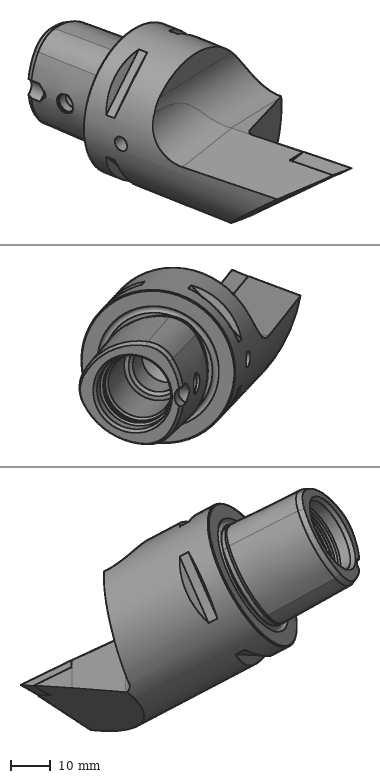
import cadquery as cq
import math

TOTAL_LENGTH = 94.0
BODY_RADIUS = 20.0

LOBE_COUNT = 3
SHANK_LENGTH = 22.0
LOBE_REACH = 14.8
FLAT_REACH = 13.35
LOBE_RADIUS = 8.9
SHANK_SLOPE = 0.025
SHANK_CHAMFER_LENGTH = 1.5
SHANK_CHAMFER_HEIGHT = 0.7

NECK_INSET = 0.4
NECK_START = 22.75
FLANGE_START = 24.0
FLANGE_CHAMFER = 0.3
FACE_GROOVE_INNER_RADIUS = 14.1
FACE_GROOVE_OUTER_RADIUS = 15.8

BORE_MOUTH_RADIUS = 10.2
BORE_MOUTH_DEPTH = 1.1
BORE_RADIUS = 9.6
BORE_DEPTH = 4.0
COLLAR_RADIUS = 8.9
COLLAR_CHAMFER = 0.4
RING_GROOVE_START = 5.3
RING_GROOVE_WIDTH = 0.75
RING_GROOVE_RADIUS = 9.3
COLLAR_END = 6.7
DEEP_BORE_RADIUS = 8.4
DEEP_BORE_START = 7.4
DEEP_BORE_END = 22.6
THREAD_MOUTH_RADIUS = 7.2
THREAD_RADIUS = 6.4
THREAD_END = 32.0
COOLANT_RADIUS = 2.3
COOLANT_END = 41.4
DRILL_POINT_SLOPE = 0.6

KEYWAY_RADIUS = 2.6
KEYWAY_LENGTH = 4.1
KEYWAY_OFFSET = 13.4
SHANK_HOLE_X = 12.6
SHANK_HOLE_RADIUS = 2.35
SHANK_HOLE_RIM_RADIUS = 2.6
SHANK_HOLE_RIM_FLOOR = 12.4
SHANK_HOLE_FLOOR = 10.0
BODY_HOLE_X = 36.1
BODY_HOLE_RADIUS = 2.0
BODY_HOLE_FLOOR = 14.1

GROOVE_X = 32.0
GROOVE_FLOOR_WIDTH = 2.6
GROOVE_DEPTH = 2.3
GROOVE_WALL_ANGLE = 30.0
GROOVE_COUNT = 4
FIRST_GROOVE_ANGLE = 45.0

TIP_HEIGHT = 4.9
RISE_ANGLE = 2.9
RAKE_TILT = 7.1
RAKE_WALL_X = 44.4
RAKE_FILLET = 10.8
HEEL_WALL_X = 44.0
HEEL_FILLET = 11.0
HEEL_DROP = 0.06
SIDE_START_X = 55.6
SIDE_CORNER_X = 60.7
SIDE_CORNER_INSET = 0.4
SIDE_FILLET = 2.4
HOLDER_TIP_X = 93.8
END_SLOPE_Z = 1.27
HOLDER_END_SLOPE_Y = 0.2
INSERT_END_SLOPE_Y = 0.28

INSERT_LENGTH = 15.4
INSERT_WIDTH = 4.8
INSERT_THICKNESS = 2.8
POCKET_GAP = 0.75

LARGE = 3 * TOTAL_LENGTH


def shank_outline(inset):
    """Closed three-lobed wire in the YZ plane, moved inward by `inset`."""
    lobe_pitch = 360 / LOBE_COUNT
    half_pitch = lobe_pitch / 2
    reach_difference = LOBE_REACH - FLAT_REACH
    lobe_centre = LOBE_REACH - LOBE_RADIUS
    side_centre = (
        reach_difference * (2 * lobe_centre - reach_difference) / (lobe_centre - 2 * reach_difference)
    )
    side_sin = side_centre * math.sin(math.radians(half_pitch))
    side_cos = lobe_centre + side_centre * math.cos(math.radians(half_pitch))
    tangent_angle = math.atan2(side_sin, side_cos)
    lobe_radius = LOBE_RADIUS - inset
    join_y = lobe_centre + lobe_radius * math.cos(tangent_angle)
    join_z = lobe_radius * math.sin(tangent_angle)
    join_radius = math.hypot(join_y, join_z)
    join_angle = math.degrees(math.atan2(join_z, join_y))

    def polar(radius, degrees):
        angle = math.radians(degrees)
        return cq.Vector(0, radius * math.cos(angle), radius * math.sin(angle))

    edges = []
    for index in range(LOBE_COUNT):
        lobe_angle = index * lobe_pitch
        lobe_start = polar(join_radius, lobe_angle - join_angle)
        lobe_end = polar(join_radius, lobe_angle + join_angle)
        next_start = polar(join_radius, lobe_angle + lobe_pitch - join_angle)
        lobe_crest = polar(LOBE_REACH - inset, lobe_angle)
        side_middle = polar(FLAT_REACH - inset, lobe_angle + half_pitch)
        edges.append(cq.Edge.makeThreePointArc(lobe_start, lobe_crest, lobe_end))
        edges.append(cq.Edge.makeThreePointArc(lobe_end, side_middle, next_start))
    return cq.Wire.assembleEdges(edges)


def shank():
    """Tapered shank with its lead-in chamfer, and the straight neck that joins it to the body."""
    chamfer_inset = (SHANK_LENGTH - SHANK_CHAMFER_LENGTH) * SHANK_SLOPE
    back = shank_outline(chamfer_inset + SHANK_CHAMFER_HEIGHT)
    chamfer_end = shank_outline(chamfer_inset).translate(cq.Vector(SHANK_CHAMFER_LENGTH, 0, 0))
    wide_end = shank_outline(0).translate(cq.Vector(SHANK_LENGTH, 0, 0))
    neck_start = shank_outline(NECK_INSET).translate(cq.Vector(NECK_START, 0, 0))
    neck_end = shank_outline(NECK_INSET).translate(cq.Vector(FLANGE_START, 0, 0))
    sections = [back, chamfer_end, wide_end, neck_start, neck_end]
    body = cq.Workplane(cq.Solid.makeLoft(sections[:2], True))
    for index in range(1, len(sections) - 1):
        body = body.union(cq.Workplane(cq.Solid.makeLoft(sections[index : index + 2], True)))
    return body


def revolved(profile):
    """Solid of revolution about the tool axis from a closed profile of (x, radius)."""
    return profile.close().revolve(360, (0, 0, 0), (1, 0, 0))


def round_body():
    """Grooved flange face and cylindrical body."""
    groove_radius = (FACE_GROOVE_OUTER_RADIUS - FACE_GROOVE_INNER_RADIUS) / 2
    groove_bottom = (FLANGE_START + groove_radius, FACE_GROOVE_INNER_RADIUS + groove_radius)
    profile = (
        cq.Workplane("XY")
        .moveTo(FLANGE_START, 0)
        .lineTo(FLANGE_START, FACE_GROOVE_INNER_RADIUS)
        .threePointArc(groove_bottom, (FLANGE_START, FACE_GROOVE_OUTER_RADIUS))
        .lineTo(FLANGE_START, BODY_RADIUS - FLANGE_CHAMFER)
        .lineTo(FLANGE_START + FLANGE_CHAMFER, BODY_RADIUS)
        .lineTo(TOTAL_LENGTH, BODY_RADIUS)
        .lineTo(TOTAL_LENGTH, 0)
    )
    return revolved(profile)


def bore():
    """Stepped bore with a thread core hole and a coolant drilling, both ending in drill points."""
    ring_groove_end = RING_GROOVE_START + RING_GROOVE_WIDTH
    thread_chamfer = THREAD_MOUTH_RADIUS - THREAD_RADIUS
    thread_point = THREAD_END + (THREAD_RADIUS - COOLANT_RADIUS) * DRILL_POINT_SLOPE
    profile = cq.Workplane("XY").polyline(
        [
            (0, 0),
            (0, BORE_MOUTH_RADIUS),
            (BORE_MOUTH_DEPTH, BORE_RADIUS),
            (BORE_DEPTH, BORE_RADIUS),
            (BORE_DEPTH + COLLAR_CHAMFER, COLLAR_RADIUS),
            (RING_GROOVE_START, COLLAR_RADIUS),
            (RING_GROOVE_START, RING_GROOVE_RADIUS),
            (ring_groove_end, RING_GROOVE_RADIUS),
            (ring_groove_end, COLLAR_RADIUS),
            (COLLAR_END, COLLAR_RADIUS),
            (DEEP_BORE_START, DEEP_BORE_RADIUS),
            (DEEP_BORE_END, DEEP_BORE_RADIUS),
            (DEEP_BORE_END, THREAD_MOUTH_RADIUS),
            (DEEP_BORE_END + thread_chamfer, THREAD_RADIUS),
            (THREAD_END, THREAD_RADIUS),
            (thread_point, COOLANT_RADIUS),
            (COOLANT_END, COOLANT_RADIUS),
            (COOLANT_END + COOLANT_RADIUS * DRILL_POINT_SLOPE, 0),
        ]
    )
    return revolved(profile)


def keyway():
    """Round-bottomed keyway along the shank, ending in a right-angled point."""
    profile = cq.Workplane("XY").polyline(
        [(0, 0), (0, KEYWAY_RADIUS), (KEYWAY_LENGTH, KEYWAY_RADIUS), (KEYWAY_LENGTH + KEYWAY_RADIUS, 0)]
    )
    return revolved(profile).translate((0, -KEYWAY_OFFSET, 0))


def cross_hole(x, radius, floor):
    """Blind drilled hole entering from the -Y side."""
    point = floor - radius * DRILL_POINT_SLOPE
    profile = cq.Workplane("XY").polyline(
        [(0, -BODY_RADIUS), (radius, -BODY_RADIUS), (radius, -floor), (0, -point)]
    )
    return profile.close().revolve(360, (0, 0, 0), (0, 1, 0)).translate((x, 0, 0))


def shank_hole_rim():
    """Shallow round recess around the mouth of the shank hole."""
    return (
        cq.Workplane("XZ", origin=(SHANK_HOLE_X, -SHANK_HOLE_RIM_FLOOR, 0))
        .circle(SHANK_HOLE_RIM_RADIUS)
        .extrude(BODY_RADIUS - SHANK_HOLE_RIM_FLOOR)
    )


def gripper_groove(angle):
    """Straight groove with sloping walls, cut across the flange at an angle about the axis."""
    half_floor = GROOVE_FLOOR_WIDTH / 2
    half_mouth = half_floor + GROOVE_DEPTH * math.tan(math.radians(GROOVE_WALL_ANGLE))
    floor = BODY_RADIUS - GROOVE_DEPTH
    return (
        cq.Workplane("XZ")
        .polyline(
            [
                (GROOVE_X - half_floor, floor),
                (GROOVE_X + half_floor, floor),
                (GROOVE_X + half_mouth, BODY_RADIUS),
                (GROOVE_X - half_mouth, BODY_RADIUS),
            ]
        )
        .close()
        .extrude(BODY_RADIUS, both=True)
        .rotate((0, 0, 0), (1, 0, 0), angle)
    )


def head_relief(wall_x, fillet, tip_height):
    """Space above the head: an upright wall blending into a floor that climbs to the tip."""
    rise = math.radians(RISE_ANGLE)
    floor_at_wall = tip_height - (TOTAL_LENGTH - wall_x) * math.tan(rise)
    floor_past_tip = tip_height + TOTAL_LENGTH * math.tan(rise)
    return (
        cq.Workplane("XZ")
        .polyline(
            [
                (wall_x, floor_at_wall),
                (2 * TOTAL_LENGTH, floor_past_tip),
                (2 * TOTAL_LENGTH, TOTAL_LENGTH),
                (wall_x, TOTAL_LENGTH),
            ]
        )
        .close()
        .extrude(LARGE, both=True)
        .edges("|Y and <X and <Z")
        .fillet(fillet)
    )


def tilted(shape):
    """Turn a shape by the rake tilt about the line through the tip along X."""
    return shape.rotate((0, 0, TIP_HEIGHT), (1, 0, TIP_HEIGHT), RAKE_TILT)


def side_relief():
    """Everything on the +Y side of the head, back to the slanted shoulder."""
    shoulder_run = (SIDE_CORNER_X - SIDE_START_X) / BODY_RADIUS
    far_y = 2 * BODY_RADIUS
    return (
        cq.Workplane("XY")
        .workplane(offset=-LARGE / 2)
        .polyline(
            [
                (SIDE_CORNER_X, -SIDE_CORNER_INSET),
                (TOTAL_LENGTH - INSERT_LENGTH, 0),
                (LARGE, 0),
                (LARGE, far_y),
                (SIDE_CORNER_X - shoulder_run * far_y, far_y),
            ]
        )
        .close()
        .extrude(LARGE)
        .edges("|Z")
        .edges(cq.selectors.NearestToPointSelector((SIDE_CORNER_X, -SIDE_CORNER_INSET, 0)))
        .fillet(SIDE_FILLET)
    )


def end_relief(tip_x, slope_y):
    """Everything beyond the slanted end face that passes through the tip."""
    face = cq.Plane(origin=(tip_x, 0, TIP_HEIGHT), xDir=(slope_y, 1, 0), normal=(1, -slope_y, -END_SLOPE_Z))
    return cq.Workplane(face).rect(LARGE, LARGE).extrude(LARGE)


def insert_block(gap):
    """Slab under the rake face at the tip; `gap` slants its rear end away from the tip."""
    rear_x = TOTAL_LENGTH - INSERT_LENGTH
    block = (
        cq.Workplane("XY")
        .polyline(
            [
                (rear_x, 0),
                (rear_x - gap, -INSERT_WIDTH),
                (TOTAL_LENGTH, -INSERT_WIDTH),
                (TOTAL_LENGTH, 0),
            ]
        )
        .close()
        .extrude(-INSERT_THICKNESS)
        .translate((0, 0, TIP_HEIGHT))
        .rotate((TOTAL_LENGTH, 0, TIP_HEIGHT), (TOTAL_LENGTH, 1, TIP_HEIGHT), -RISE_ANGLE)
    )
    return tilted(block)


def make_holder():
    """Tool holder: shank, body and cutting head with the insert pocket."""
    holder = round_body().union(shank())
    holder = holder.cut(bore()).cut(keyway())
    holder = holder.cut(cross_hole(SHANK_HOLE_X, SHANK_HOLE_RADIUS, SHANK_HOLE_FLOOR))
    holder = holder.cut(shank_hole_rim())
    holder = holder.cut(cross_hole(BODY_HOLE_X, BODY_HOLE_RADIUS, BODY_HOLE_FLOOR))
    for index in range(GROOVE_COUNT):
        holder = holder.cut(gripper_groove(FIRST_GROOVE_ANGLE + index * 360 / GROOVE_COUNT))
    holder = holder.cut(tilted(head_relief(RAKE_WALL_X, RAKE_FILLET, TIP_HEIGHT)))
    holder = holder.cut(head_relief(HEEL_WALL_X, HEEL_FILLET, TIP_HEIGHT - HEEL_DROP))
    holder = holder.cut(side_relief())
    holder = holder.cut(end_relief(HOLDER_TIP_X, HOLDER_END_SLOPE_Y))
    return holder.cut(insert_block(POCKET_GAP))


def make_insert():
    """Cutting insert seated in the pocket, flush with the rake face."""
    return insert_block(0).cut(side_relief()).cut(end_relief(TOTAL_LENGTH, INSERT_END_SLOPE_Y))


holder = make_holder()
insert = make_insert()

result = cq.Compound.makeCompound([holder.val(), insert.val()])